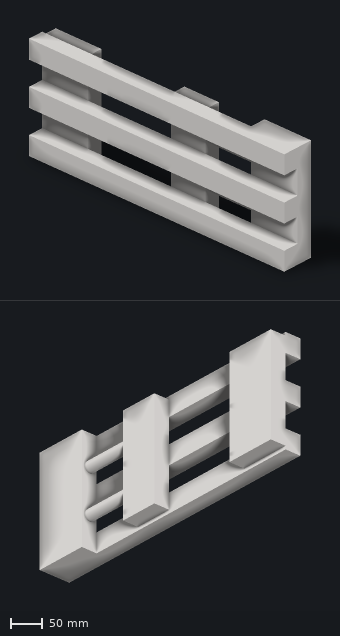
import cadquery as cq

length = 560.0
depth = 63.0
height = 216.0

slat_count = 3
slat_depth = 31.5
slat_height = 38.5
slat_pitch = (height - slat_height) / (slat_count - 1)

block_depth = depth - slat_depth
block_inset = 7.0
short_block_height = height - 2 * block_inset
left_block_width = 100.0
middle_block_width = 75.5
right_block_width = 102.0

rod_diameter = 22.0
rod_length = 100.0
rod_back_distance = 17.0

left_end = -length / 2
right_block_start = length / 2 - right_block_width
middle_block_end = right_block_start - rod_length
middle_block_start = middle_block_end - middle_block_width


def slat(center_z):
    """Full-length slat at the given height."""
    return (
        cq.Workplane("XY")
        .box(length, slat_depth, slat_height, centered=(True, False, True))
        .translate((0, 0, center_z))
    )


def block(start_x, width, block_height):
    """Upright block against the back of the slats."""
    return (
        cq.Workplane("XY")
        .box(width, block_depth, block_height, centered=(False, False, True))
        .translate((start_x, slat_depth, 0))
    )


def rod(center_z):
    """Rod along X, centred in the gap between two slats."""
    return (
        cq.Workplane("YZ", origin=(middle_block_end, 0, 0))
        .center(depth - rod_back_distance, center_z)
        .circle(rod_diameter / 2)
        .extrude(rod_length)
    )


result = block(right_block_start, right_block_width, height)

for slat_index in range(slat_count):
    result = result.union(slat((slat_index - (slat_count - 1) / 2) * slat_pitch))

result = result.union(block(left_end, left_block_width, short_block_height))
result = result.union(block(middle_block_start, middle_block_width, short_block_height))

for side in (-1, 1):
    result = result.union(rod(side * slat_pitch / 2))